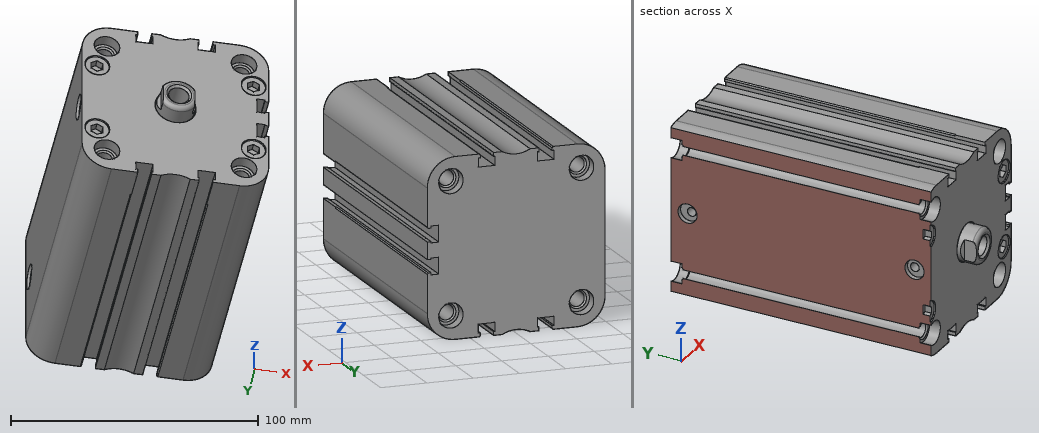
import cadquery as cq
import math

total_length = 127
rod_reach = 7.9
housing_length = total_length - rod_reach
side = 77.0
half_side = side / 2
corner_radius = 12.1
cap_length = 13.7

wide_face_slot_depth = 5.5
side_face_slot_depth = 5.0
lip_height = 1.7
mouth_width = 5.7
inner_undercut = 0.5
outer_undercut = 0.9
mouth_bevel = 0.5
wide_face_mouth = 9.8
side_face_mouth = 3.7

groove_width = 12.1
groove_depth = 1.5

mount_spacing = 56.5
mount_offset = mount_spacing / 2
mount_bore = 6.6
mount_countersink = 8.0
mount_counterbore = 10.5
mount_counterbore_depth = 5.0

screw_x = 32.3
screw_z = 17.3
screw_recess = 10.3
screw_head = 9.8
screw_sink = 0.5
socket_flats = 5.0
socket_depth = 3.0

port_from_end = 7.6
port_bore = 8.5
port_mouth = 10.5
port_depth = 9.5
feed_bore = 4.0
feed_from_end = 8.5
feed_depth = 15.2

rod_diameter = 16.0
rod_clearance_bore = 16.5
rod_clearance_mouth = 17.0
rod_clearance_depth = 1.3
rod_flats = 13.0
flat_start = 2.4
shoulder_length = 1.1
rod_end_face = 12.0
rod_round_length = 1.7
rod_bore = 8.4
rod_bore_mouth = 10.3
rod_bore_depth = 15.2


def along_y(profile, start, length):
    """Extrude an XZ profile from Y = start towards +Y."""
    return profile.extrude(-length).translate((0, start, 0))


def turned(points):
    """Revolve (radius, Y) points around the Y axis."""
    return cq.Workplane("XY").polyline(points).close().revolve(360, (0, 0, 0), (0, 1, 0))


def countersunk_bore(mouth, bore, depth):
    """Blind bore from Y = 0 towards +Y with a 45 degree mouth."""
    mouth_depth = (mouth - bore) / 2
    return turned([
        (0, 0), (mouth / 2, 0), (bore / 2, mouth_depth), (bore / 2, depth), (0, depth),
    ])


def make_housing():
    block = cq.Workplane("XY").box(side, housing_length, side)
    block = block.translate((0, housing_length / 2, 0))
    return block.edges("|Y").fillet(corner_radius)


def slot_on_top(mouth_start, depth):
    """Slot in the top face, on the +X side of its centre line."""
    mouth_end = mouth_start + mouth_width
    floor = half_side - depth
    lip = half_side - lip_height
    profile = cq.Workplane("XZ").polyline([
        (mouth_start, half_side),
        (mouth_start, lip),
        (mouth_start - inner_undercut, lip),
        (mouth_start - inner_undercut, floor),
        (mouth_end + outer_undercut, floor),
        (mouth_end + outer_undercut, lip),
        (mouth_end, lip),
        (mouth_end, half_side),
    ]).close()
    bevel = cq.Workplane("XZ").polyline([
        (mouth_end, half_side),
        (mouth_end + mouth_bevel, half_side),
        (mouth_end, half_side - mouth_bevel),
    ]).close()
    slot = along_y(profile, 0, housing_length)
    return slot.union(along_y(bevel, cap_length, housing_length - cap_length))


def groove_on_top():
    half_width = groove_width / 2
    profile = (
        cq.Workplane("XZ")
        .moveTo(-half_width, half_side)
        .threePointArc((0, half_side - groove_depth), (half_width, half_side))
        .close()
    )
    return along_y(profile, 0, housing_length)


def cut_long_grooves(body):
    wide_slot = slot_on_top(wide_face_mouth, wide_face_slot_depth)
    top_cutters = wide_slot.union(wide_slot.mirror("YZ")).union(groove_on_top())
    side_slot = slot_on_top(side_face_mouth, side_face_slot_depth)
    side_slot = side_slot.rotate((0, 0, 0), (0, 1, 0), 90)
    body = body.cut(top_cutters).cut(top_cutters.mirror("XY"))
    return body.cut(side_slot).cut(side_slot.mirror("XY"))


def mount_hole():
    """Through hole, counterbored and countersunk at both ends."""
    sink_end = mount_counterbore_depth + (mount_countersink - mount_bore) / 2
    front = [
        (mount_counterbore / 2, 0),
        (mount_counterbore / 2, mount_counterbore_depth),
        (mount_countersink / 2, mount_counterbore_depth),
        (mount_bore / 2, sink_end),
    ]
    rear = [(radius, housing_length - y) for radius, y in reversed(front)]
    return turned([(0, 0)] + front + rear + [(0, housing_length)])


def screw_recess_cut():
    """Shallow tapered recess down to the screw head, with its hexagon socket."""
    recess = turned([(0, 0), (screw_recess / 2, 0), (screw_head / 2, screw_sink), (0, screw_sink)])
    across_corners = socket_flats / math.cos(math.pi / 6)
    hexagon = cq.Workplane("XZ").transformed(rotate=(0, 0, 90)).polygon(6, across_corners)
    return recess.union(along_y(hexagon, 0, screw_sink + socket_depth))


def cut_at_four(body, cutter, x, z):
    for x_sign in (-1, 1):
        for z_sign in (-1, 1):
            body = body.cut(cutter.translate((x_sign * x, 0, z_sign * z)))
    return body


def cut_ports(body):
    port = countersunk_bore(port_mouth, port_bore, port_depth)
    port = port.rotate((0, 0, 0), (0, 0, 1), -90).translate((-half_side, port_from_end, 0))
    feed = cq.Workplane("YZ").circle(feed_bore / 2).extrude(feed_depth)
    feed = feed.translate((-half_side, feed_from_end, 0))
    front_port = port.union(feed)
    rear_port = front_port.mirror("XZ").translate((0, housing_length, 0))
    return body.cut(front_port).cut(rear_port)


def make_rod():
    radius = rod_diameter / 2
    end_radius = rod_end_face / 2
    drop = radius - end_radius
    round_radius = (drop ** 2 + rod_round_length ** 2) / (2 * rod_round_length)
    half_angle = math.atan2(rod_round_length, drop)
    middle_x = end_radius + round_radius * math.sin(half_angle)
    middle_y = -rod_reach + round_radius * (1 - math.cos(half_angle))
    rod = (
        cq.Workplane("XY")
        .moveTo(0, rod_clearance_depth)
        .lineTo(radius, rod_clearance_depth)
        .lineTo(radius, rod_round_length - rod_reach)
        .threePointArc((middle_x, middle_y), (end_radius, -rod_reach))
        .lineTo(0, -rod_reach)
        .close()
        .revolve(360, (0, 0, 0), (0, 1, 0))
    )
    half_flats = rod_flats / 2
    flat_cut = cq.Workplane("XY").polyline([
        (half_flats, -rod_reach),
        (half_flats, -flat_start),
        (radius, shoulder_length - flat_start),
        (radius, -rod_reach),
    ]).close().extrude(radius, both=True)
    return rod.cut(flat_cut).cut(flat_cut.mirror("YZ"))


result = cut_long_grooves(make_housing())
result = cut_at_four(result, mount_hole(), mount_offset, mount_offset)
result = cut_at_four(result, screw_recess_cut(), screw_x, screw_z)
result = cut_ports(result)
clearance = countersunk_bore(rod_clearance_mouth, rod_clearance_bore, rod_clearance_depth)
result = result.cut(clearance)
result = result.union(make_rod())
rod_hole = countersunk_bore(rod_bore_mouth, rod_bore, rod_bore_depth)
result = result.cut(rod_hole.translate((0, -rod_reach, 0)))